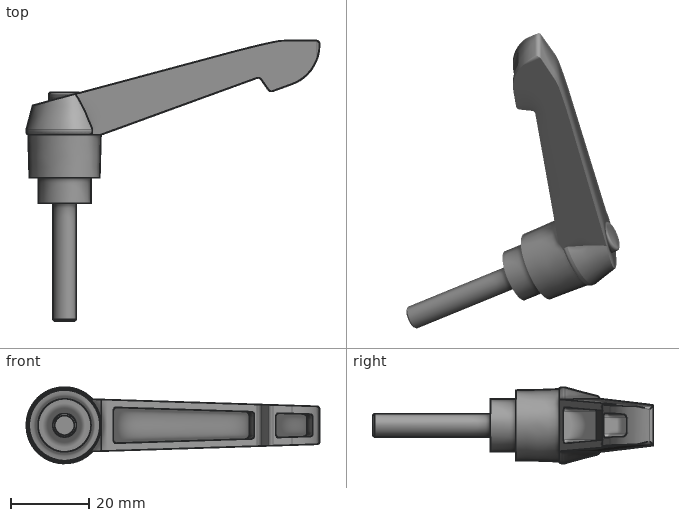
import cadquery as cq
import math


stud_diameter = 6.0
stud_length = 30.0
stud_chamfer = 0.5
collar_diameter = 13.5
collar_length = 6.5

barrel_bottom_radius = 9.0
barrel_top_radius = 9.3
rim_radius = 9.745
rim_bottom_y = 17.5
rim_rounding = 0.75
rim_top_y = 18.9
crown_angle = 15.0

head_radius = 4.0
head_top_y = 28.4
head_rounding = 0.7

top_slope_angle = 15.0
top_slope_y_at_axis = 27.17
arm_top_y = 41.55
top_bend_start_x = 43.3
top_bend_radius = 200.0
top_bend_end_angle = 12.0
arm_end_x = 65.0
arm_end_corner_radius = 1.0
arm_nose_radius = 10.8
arm_nose_center_y = 40.52
underside_angle = 20.0
notch_angle = 55.0
notch_x = 52.36
notch_rounding = 1.0

arm_half_width_at_axis = 6.9
arm_half_width_at_end = 4.84
arm_end_edge_radius = 0.8

pocket_corner_radius = 1.0
long_pocket_wall = 1.9
long_pocket_start_x = 12.4
long_pocket_end_x = 48.4
long_pocket_roof = 2.8
short_pocket_wall = 2.05
short_pocket_start_x = 53.8
short_pocket_end_x = 63.3
short_pocket_roof = 3.2

top_slope = math.tan(math.radians(top_slope_angle))
underside_slope = math.tan(math.radians(underside_angle))
notch_slope = -math.tan(math.radians(notch_angle))
slope_cos = math.cos(math.radians(top_slope_angle))
slope_sin = math.sin(math.radians(top_slope_angle))

underside_start = (barrel_top_radius, rim_bottom_y)

nose_foot = (
    arm_end_x - arm_nose_radius * (1 - math.sin(math.radians(underside_angle))),
    arm_nose_center_y - arm_nose_radius * math.cos(math.radians(underside_angle)),
)


def top_slope_y(x):
    """Height of the sloping plane that tops both hub and arm."""
    return top_slope_y_at_axis + top_slope * x


def arm_underside_y(x):
    """Underside of the arm between hub and notch."""
    return underside_start[1] + underside_slope * (x - underside_start[0])


def grip_underside_y(x):
    """Underside of the grip beyond the notch."""
    return nose_foot[1] + underside_slope * (x - nose_foot[0])


def arm_half_width(x):
    taper = (arm_half_width_at_axis - arm_half_width_at_end) / arm_end_x
    return arm_half_width_at_axis - taper * x


def make_stud_and_collar():
    stud_radius = stud_diameter / 2
    collar_radius = collar_diameter / 2
    return (
        cq.Workplane("XY")
        .moveTo(0, -stud_length)
        .lineTo(stud_radius - stud_chamfer, -stud_length)
        .lineTo(stud_radius, -stud_length + stud_chamfer)
        .lineTo(stud_radius, 0)
        .lineTo(collar_radius, 0)
        .lineTo(collar_radius, collar_length)
        .lineTo(0, collar_length)
        .close()
        .revolve(360, (0, 0, 0), (0, 1, 0))
    )


def slope_cutter():
    """Block filling the space above the sloping top plane."""
    reach = 2 * rim_radius
    return (
        cq.Workplane("XY")
        .polyline([
            (-reach, top_slope_y(-reach)),
            (reach, top_slope_y(reach)),
            (-reach, top_slope_y(reach)),
        ])
        .close()
        .extrude(reach, both=True)
    )


def make_barrel():
    return (
        cq.Workplane("XY")
        .moveTo(0, collar_length)
        .lineTo(barrel_bottom_radius, collar_length)
        .lineTo(barrel_top_radius, rim_bottom_y)
        .lineTo(barrel_top_radius, rim_top_y)
        .lineTo(0, rim_top_y)
        .close()
        .revolve(360, (0, 0, 0), (0, 1, 0))
    )


def make_crown():
    """Rim with a rounded lower edge and the cone above it, cut off by the sloping top plane."""
    cone_top_y = top_slope_y(rim_radius)
    cone_top_radius = rim_radius - (cone_top_y - rim_top_y) * math.tan(math.radians(crown_angle))
    crown = (
        cq.Workplane("XY")
        .moveTo(0, rim_bottom_y)
        .lineTo(rim_radius - rim_rounding, rim_bottom_y)
        .radiusArc((rim_radius, rim_bottom_y + rim_rounding), -rim_rounding)
        .lineTo(rim_radius, rim_top_y)
        .lineTo(cone_top_radius, cone_top_y)
        .lineTo(0, cone_top_y)
        .close()
        .revolve(360, (0, 0, 0), (0, 1, 0))
    )
    return crown.cut(slope_cutter())


def make_screw_head():
    return (
        cq.Workplane("XZ", origin=(0, head_top_y, 0))
        .circle(head_radius)
        .extrude(head_top_y - rim_top_y)
        .faces(">Y")
        .edges()
        .fillet(head_rounding)
    )


def flattening_arc(start, radius, start_angle, end_angle):
    """Start, middle and end of a convex arc that flattens from one slope angle to another."""

    def point_at(angle):
        turn_start = math.radians(start_angle)
        turn = math.radians(angle)
        return (
            start[0] + radius * (math.sin(turn_start) - math.sin(turn)),
            start[1] + radius * (math.cos(turn) - math.cos(turn_start)),
        )

    return start, point_at((start_angle + end_angle) / 2), point_at(end_angle)


def make_arm_side():
    """Side outline of the arm as a thick slab, before its width is trimmed."""
    bend_start, bend_middle, bend_end = flattening_arc(
        (top_bend_start_x, top_slope_y(top_bend_start_x)),
        top_bend_radius,
        top_slope_angle,
        top_bend_end_angle,
    )
    crest_radius = (arm_top_y - bend_end[1]) / (1 - math.cos(math.radians(top_bend_end_angle)))
    _, crest_middle, crest_end = flattening_arc(bend_end, crest_radius, top_bend_end_angle, 0)
    notch_foot_y = grip_underside_y(notch_x)
    notch_top_x = notch_x + (arm_underside_y(notch_x) - notch_foot_y) / (notch_slope - underside_slope)
    nose_middle_angle = math.radians((underside_angle - 90) / 2)
    nose_middle = (
        arm_end_x - arm_nose_radius * (1 - math.cos(nose_middle_angle)),
        arm_nose_center_y + arm_nose_radius * math.sin(nose_middle_angle),
    )
    slab = (
        cq.Workplane("XY")
        .moveTo(0, rim_bottom_y)
        .lineTo(*underside_start)
        .lineTo(notch_top_x, arm_underside_y(notch_top_x))
        .lineTo(notch_x, notch_foot_y)
        .lineTo(*nose_foot)
        .threePointArc(nose_middle, (arm_end_x, arm_nose_center_y))
        .lineTo(arm_end_x, arm_top_y)
        .lineTo(*crest_end)
        .threePointArc(crest_middle, bend_end)
        .threePointArc(bend_middle, bend_start)
        .lineTo(0, top_slope_y_at_axis)
        .close()
        .extrude(rim_radius, both=True)
    )

    def round_corner(solid, x, y, radius):
        corner = cq.selectors.NearestToPointSelector((x, y, 0))
        return solid.edges("|Z").edges(corner).fillet(radius)

    slab = round_corner(slab, notch_top_x, arm_underside_y(notch_top_x), notch_rounding)
    slab = round_corner(slab, notch_x, notch_foot_y, notch_rounding)
    return round_corner(slab, arm_end_x, arm_top_y, arm_end_corner_radius)


def make_arm_plan():
    """Tapering plan outline of the arm, tall enough to trim the side slab."""
    return (
        cq.Workplane("XZ")
        .polyline([
            (0, -arm_half_width_at_axis),
            (arm_end_x, -arm_half_width_at_end),
            (arm_end_x, arm_half_width_at_end),
            (0, arm_half_width_at_axis),
        ])
        .close()
        .extrude(-2 * arm_top_y)
        .edges("|Y and >X")
        .fillet(arm_end_edge_radius)
    )


def make_pocket(start, end, side_wall, roof_thickness):
    """Tapered pocket between two (x, y) points of the underside, square to the sloping top."""

    def along_slope(point):
        return point[0] * slope_cos + (point[1] - top_slope_y_at_axis) * slope_sin

    roof_origin = (roof_thickness * slope_sin, top_slope_y_at_axis - roof_thickness * slope_cos, 0)
    roof_plane = cq.Plane(
        origin=roof_origin,
        xDir=(slope_cos, slope_sin, 0),
        normal=(slope_sin, -slope_cos, 0),
    )
    start_half_width = arm_half_width(start[0]) - side_wall
    end_half_width = arm_half_width(end[0]) - side_wall
    return (
        cq.Workplane(roof_plane)
        .polyline([
            (along_slope(start), -start_half_width),
            (along_slope(end), -end_half_width),
            (along_slope(end), end_half_width),
            (along_slope(start), start_half_width),
        ])
        .close()
        .extrude(arm_top_y - rim_bottom_y)
        .edges(cq.selectors.ParallelDirSelector(roof_plane.zDir))
        .fillet(pocket_corner_radius)
    )


def nose_y(x):
    """Height of the nose arc above the given x."""
    return arm_nose_center_y - math.sqrt(arm_nose_radius**2 - (x - arm_end_x + arm_nose_radius) ** 2)


def make_arm():
    long_pocket = make_pocket(
        (long_pocket_start_x, arm_underside_y(long_pocket_start_x)),
        (long_pocket_end_x, arm_underside_y(long_pocket_end_x)),
        long_pocket_wall,
        long_pocket_roof,
    )
    short_pocket = make_pocket(
        (short_pocket_start_x, grip_underside_y(short_pocket_start_x)),
        (short_pocket_end_x, nose_y(short_pocket_end_x)),
        short_pocket_wall,
        short_pocket_roof,
    )
    return make_arm_side().intersect(make_arm_plan()).cut(long_pocket).cut(short_pocket)


result = (
    make_crown()
    .union(make_barrel())
    .union(make_arm())
    .union(make_screw_head())
    .union(make_stud_and_collar())
)